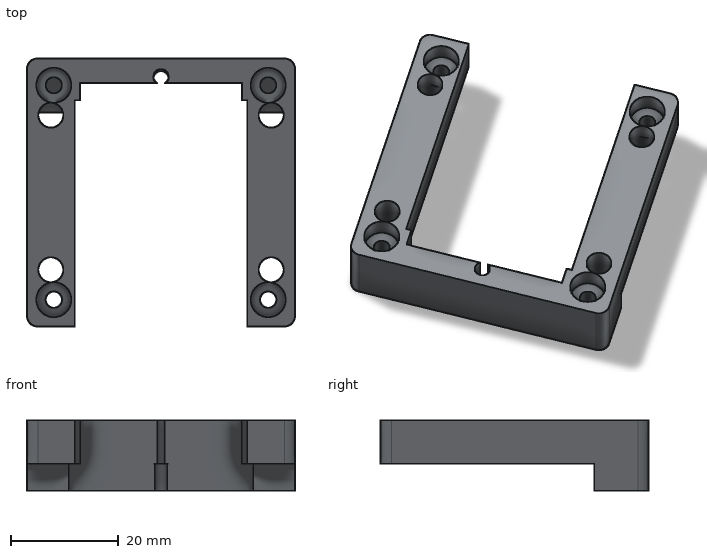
import cadquery as cq

side = 49.8
height = 13.1
corner_radius = 2.0
half_side = side / 2

base_height = 5.0
base_length = 10.1
base_gap_width = 34.2

rear_wall = 4.6
arm_gap_width = 32.0
rear_gap_width = 30.0
rear_gap_length = 3.2
wall_face_y = half_side - rear_wall
arm_gap_end_y = wall_face_y - rear_gap_length

screw_diameter = 3.0
screw_head_diameter = 6.5
screw_head_depth = 4.0
screw_inset = 5.0
screw_offset = half_side - screw_inset

pin_diameter = 4.6
pin_side_inset = 4.45
pin_end_inset = 10.55
pin_x = half_side - pin_side_inset
pin_y = half_side - pin_end_inset

groove_diameter = 2.8
upper_groove_inset = 1.2
lower_groove_inset = 0.8


def block(width, y_min, y_max, z_min, z_max):
    """Box centred on X, spanning the given Y and Z ranges."""
    return (
        cq.Workplane("XY", origin=(0, (y_min + y_max) / 2, z_min))
        .box(width, y_max - y_min, z_max - z_min, centered=(True, True, False))
    )


def cylinders(diameter, points, z_min, z_max):
    """Upright cylinders at the given points."""
    return (
        cq.Workplane("XY", origin=(0, 0, z_min))
        .pushPoints(points)
        .circle(diameter / 2)
        .extrude(z_max - z_min)
    )


def corner_points(x, y):
    """Four points mirrored about both axes."""
    return [(sx * x, sy * y) for sx in (-1, 1) for sy in (-1, 1)]


def make_body():
    """Rounded square block, cut away below the arms."""
    body = block(side, -half_side, half_side, 0, height).edges("|Z").fillet(corner_radius)
    return body.cut(block(side, -half_side, half_side - base_length, 0, base_height))


def cut_opening(body):
    """Open the U: narrower at the rear of the arms, wider through the base."""
    body = body.cut(block(arm_gap_width, -half_side, arm_gap_end_y, base_height, height))
    body = body.cut(block(rear_gap_width, arm_gap_end_y, wall_face_y, base_height, height))
    return body.cut(block(base_gap_width, -half_side, wall_face_y, 0, base_height))


def cut_holes(body):
    """Screw and plain holes, ending at the top of the base where it lies below."""
    screws = corner_points(screw_offset, screw_offset)
    body = body.cut(cylinders(screw_diameter, screws, base_height, height))
    body = body.cut(cylinders(screw_head_diameter, screws, height - screw_head_depth, height))
    pins = corner_points(pin_x, pin_y)
    return body.cut(cylinders(pin_diameter, pins, base_height, height))


def cut_groove(body):
    """Round groove, set further from the wall face above the base than within it."""
    upper = [(0, wall_face_y + upper_groove_inset)]
    lower = [(0, wall_face_y + lower_groove_inset)]
    body = body.cut(cylinders(groove_diameter, upper, base_height, height))
    return body.cut(cylinders(groove_diameter, lower, 0, base_height))


result = cut_groove(cut_holes(cut_opening(make_body())))